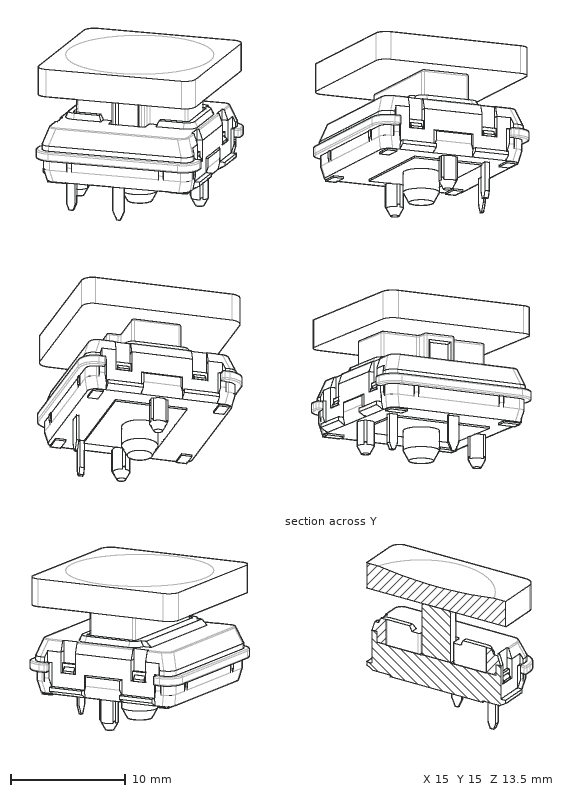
import cadquery as cq
import math


pin_tip_z = -3.0
post_shoulder_z = -1.78
post_tip_z = -2.7
floor_z = 0.15
lower_shoulder_z = 1.62
flange_bottom_z = 2.2
parting_z = 3.0
upper_shoulder_z = 3.46
deck_z = 5.0
collar_top_z = 5.5
cap_bottom_z = 8.0
cap_top_z = 10.5

cap_size = 14.5
cap_corner_r = 1.0
dish_r = 6.5
dish_depth = 0.5

stem_half_x = 5.14
stem_half_y = 2.25
key_half_x = 1.5
key_front_y = -3.43
stem_edge_r = 0.2
stem_clearance = 0.2
stem_groove_half_x = 1.09
stem_groove_top_z = 7.41
stem_groove_depth = 0.2

body_half = 6.94
deck_half = 6.4
floor_half = 6.6
body_corner_r = 0.8
deck_edge_r = 0.12
flange_half = 7.5
flange_corner_r = 1.5
flange_edge_r = 0.12
flange_end_r = 0.2
skin_half = 6.855

flat_x = 6.74
lower_flat_half_y = 5.11
upper_flat_half_y = 5.53
flank_slope = (body_half - deck_half) / (deck_z - upper_shoulder_z)
wall_top_z = upper_shoulder_z + (body_half - flat_x) / flank_slope
flange_end_y = lower_flat_half_y + body_half - flat_x

slot_y = 3.5
slot_width = 1.43
slot_floor_x = 6.22
window_floor_x = 6.48
window_bottom_z = 2.18
latch_width = 1.05
latch_x = 6.7
latch_top_z = 2.7
latch_edge_z = 2.37

lip_x = 7.24
lip_top_z = 0.86
lip_edge_z = 0.53
tab_half_y = 1.88
tab_chamfer_y = 0.19
tab_top_z = flange_bottom_z

rib_x = 4.24
rib_width = 0.44
side_rib_end_y = 5.81

collar_half_x = 6.07
collar_half_y = 3.16
collar_corner_r = 1.0
collar_inset = 0.25
collar_gap_top_half_x = 2.78
collar_gap_bottom_half_x = 2.53
bump_half_x = 5.15
bump_top_y = 3.41
bump_bottom_y = 3.93

foot_inner_x = 4.8
foot_outer_x = 6.45
foot_inner_y = 5.3
foot_outer_y = 6.25
plate_half_x = 4.8
plate_front_y = -3.7
plate_back_y = 2.85

centre_post_r = 1.6
post_tip_inset = 0.5
side_post_x = 5.55
side_post_r = 0.76
crush_rib_r = 0.14
crush_rib_reach = 0.88
crush_rib_count = 3

pin_top_z = 1.2
side_pin_at = (-5.0, -3.88)
side_pin_width = 0.8
side_pin_thickness = 0.43
side_pin_tip_width = 0.35
side_pin_taper = 0.58
centre_pin_at = (0.0, -5.85)
centre_pin_width = 1.05
centre_pin_thickness = 0.2
centre_pin_tip_width = 0.3
centre_pin_taper = 0.82


def box(x0, x1, y0, y1, z0, z1):
    return cq.Workplane("XY").box(x1 - x0, y1 - y0, z1 - z0, centered=False).translate((x0, y0, z0))


def rounded_square(half, corner_r, z0, z1):
    return box(-half, half, -half, half, z0, z1).edges("|Z").fillet(corner_r)


def tapered_square(half_0, z0, half_1, z1, corner_r):
    """Square frustum whose corners keep the same radius from end to end."""
    lower = cq.Sketch().rect(2 * half_0, 2 * half_0).vertices().fillet(corner_r)
    upper = cq.Sketch().rect(2 * half_1, 2 * half_1).vertices().fillet(corner_r)
    return (
        cq.Workplane("XY", origin=(0, 0, z0))
        .placeSketch(lower, upper.moved(cq.Location(cq.Vector(0, 0, z1 - z0))))
        .loft(ruled=True)
    )


def on_both_sides(shape):
    """The shape together with its mirror image on the other X side."""
    return shape.union(shape.mirror("YZ"))


def side_recess(half_y, z0, z1):
    """Cutter for the flats: clears everything beyond flat_x, with 45-degree ends in the body."""
    mouth_half_y = half_y + body_half - flat_x
    cutter = (
        cq.Workplane("XY", origin=(0, 0, z0))
        .polyline([
            (flat_x, -half_y),
            (body_half, -mouth_half_y),
            (flange_half, -mouth_half_y),
            (flange_half, mouth_half_y),
            (body_half, mouth_half_y),
            (flat_x, half_y),
        ])
        .close()
        .extrude(z1 - z0)
    )
    return on_both_sides(cutter)


def latch_slots(floor_x, z0, z1):
    """Cutter for the four slots, two in each flat."""
    cutter = None
    for y in (-slot_y, slot_y):
        slot = box(floor_x, flange_half, y - slot_width / 2, y + slot_width / 2, z0, z1)
        cutter = slot if cutter is None else cutter.union(slot)
    return on_both_sides(cutter)


def stem_prism(gap=0):
    """The stem's plan, grown by a gap, from the parting plane to the keycap; upright edges rounded."""
    half_x = stem_half_x + gap
    half_y = stem_half_y + gap
    key_half = key_half_x + gap
    block = box(-half_x, half_x, -half_y, half_y, parting_z, cap_bottom_z)
    key = box(-key_half, key_half, key_front_y - gap, 0, parting_z, cap_bottom_z)
    return block.union(key).edges("|Z").fillet(stem_edge_r)


def make_keycap():
    cap = rounded_square(cap_size / 2, cap_corner_r, cap_bottom_z, cap_top_z)
    sphere_r = (dish_r**2 + dish_depth**2) / (2 * dish_depth)
    dish = cq.Workplane("XY").sphere(sphere_r).translate((0, 0, cap_top_z - dish_depth + sphere_r))
    return cap.cut(dish)


def make_stem():
    stem = stem_prism().faces(">Z").edges().fillet(stem_edge_r)
    groove_height = stem_groove_top_z - parting_z
    groove = (
        cq.Workplane("XZ", origin=(0, key_front_y, parting_z))
        .rect(2 * stem_groove_half_x, 2 * groove_height)
        .extrude(-stem_groove_depth, taper=45)
    )
    return stem.cut(groove)


def make_collar():
    height = collar_top_z - deck_z
    collar = (
        cq.Workplane("XY", origin=(0, 0, deck_z))
        .sketch()
        .rect(2 * collar_half_x, 2 * collar_half_y)
        .vertices()
        .fillet(collar_corner_r)
        .finalize()
        .extrude(height, taper=math.degrees(math.atan(collar_inset / height)))
    )
    bump = (
        cq.Workplane("YZ", origin=(-bump_half_x, 0, 0))
        .polyline([(0, deck_z), (bump_bottom_y, deck_z), (bump_top_y, collar_top_z), (0, collar_top_z)])
        .close()
        .extrude(2 * bump_half_x)
    )
    front_gap = (
        cq.Workplane("XZ", origin=(0, -stem_half_y, 0))
        .polyline([
            (-collar_gap_bottom_half_x, deck_z),
            (collar_gap_bottom_half_x, deck_z),
            (collar_gap_top_half_x, collar_top_z),
            (-collar_gap_top_half_x, collar_top_z),
        ])
        .close()
        .extrude(collar_half_y)
    )
    return collar.union(bump).cut(front_gap)


def side_walls():
    """Walls of the lower housing that stand above the parting plane on the flats."""
    wall = box(slot_floor_x, flat_x, -upper_flat_half_y, upper_flat_half_y, parting_z, wall_top_z)
    return on_both_sides(wall).cut(latch_slots(slot_floor_x, parting_z, wall_top_z))


def make_upper_housing():
    base = rounded_square(body_half, body_corner_r, parting_z, upper_shoulder_z)
    flanks = tapered_square(body_half, upper_shoulder_z, deck_half, deck_z, body_corner_r)
    flanks = flanks.faces(">Z").edges().fillet(deck_edge_r)
    return (
        base.union(flanks)
        .cut(side_recess(upper_flat_half_y, parting_z, wall_top_z))
        .cut(latch_slots(slot_floor_x, parting_z, deck_z))
        .cut(side_walls())
        .union(make_collar())
        .cut(stem_prism(stem_clearance))
    )


def make_lower_shell():
    """Tapered tub with standing ribs, below the flange."""
    flanks = tapered_square(floor_half, floor_z, body_half, lower_shoulder_z, body_corner_r)
    tub = flanks.union(rounded_square(body_half, body_corner_r, lower_shoulder_z, flange_bottom_z))
    shell = tub.intersect(rounded_square(skin_half, body_corner_r, floor_z, flange_bottom_z))
    for x in (-rib_x, rib_x):
        rib_space = box(
            x - rib_width / 2, x + rib_width / 2, -body_half, body_half, floor_z, flange_bottom_z
        )
        shell = shell.union(tub.intersect(rib_space))
    for y0, y1 in ((-side_rib_end_y, -lower_flat_half_y), (lower_flat_half_y, side_rib_end_y)):
        rib_space = box(-body_half, body_half, y0, y1, floor_z, flange_bottom_z)
        shell = shell.union(tub.intersect(rib_space))
    return shell


def make_flange():
    """Flange along the front and back that wraps a short way round each corner."""
    flange = rounded_square(flange_half, flange_corner_r, flange_bottom_z, parting_z)
    side_gap = box(body_half, flange_half, -flange_end_y, flange_end_y, flange_bottom_z, parting_z)
    flange = flange.cut(on_both_sides(side_gap))
    end_zone = (flange_half + flange_end_r, flange_end_y + flange_end_r)
    ends = cq.selectors.BoxSelector(
        (-end_zone[0], -end_zone[1], flange_bottom_z), (end_zone[0], end_zone[1], parting_z)
    )
    flange = flange.edges("|Z").edges(ends).edges(">X or <X").fillet(flange_end_r)
    return flange.faces("<Z or >Z").edges().fillet(flange_edge_r)


def make_lips():
    """Lips along the bottom of the flats, interrupted by the centre tabs."""
    lips = (
        cq.Workplane("XZ", origin=(0, lower_flat_half_y, 0))
        .polyline([
            (slot_floor_x, floor_z),
            (floor_half, floor_z),
            (lip_x, lip_edge_z),
            (lip_x, lip_top_z),
            (slot_floor_x, lip_top_z),
        ])
        .close()
        .extrude(2 * lower_flat_half_y)
    )
    tab_gap = box(slot_floor_x, lip_x, -tab_half_y, tab_half_y, floor_z, lip_top_z)
    return on_both_sides(lips.cut(tab_gap))


def make_tabs(shell):
    """Centre tabs of the flats: parts of the shell's flanks with bevelled edges."""
    depth = skin_half - flat_x
    tab = (
        cq.Workplane("XY", origin=(0, 0, floor_z))
        .polyline([
            (flat_x, -tab_half_y),
            (skin_half, -tab_half_y + tab_chamfer_y),
            (skin_half, tab_half_y - tab_chamfer_y),
            (flat_x, tab_half_y),
        ])
        .close()
        .extrude(tab_top_z - floor_z)
    )
    top_bevel = (
        cq.Workplane("XZ", origin=(0, tab_half_y, 0))
        .polyline([(flat_x, tab_top_z), (skin_half, tab_top_z), (skin_half, tab_top_z - depth)])
        .close()
        .extrude(2 * tab_half_y)
    )
    return on_both_sides(tab.cut(top_bevel)).intersect(shell)


def make_latches():
    """Ramped catches standing in the windows at the foot of the latch slots."""
    latches = None
    for y in (-slot_y, slot_y):
        latch = (
            cq.Workplane("XZ", origin=(0, y + latch_width / 2, 0))
            .polyline([
                (window_floor_x, window_bottom_z),
                (latch_x, window_bottom_z),
                (latch_x, latch_edge_z),
                (window_floor_x, latch_top_z),
            ])
            .close()
            .extrude(latch_width)
        )
        latches = latch if latches is None else latches.union(latch)
    return on_both_sides(latches)


def make_underside():
    """Shallow plate under the floor and a foot under each corner."""
    underside = box(-plate_half_x, plate_half_x, plate_front_y, plate_back_y, 0, floor_z)
    for y0, y1 in ((-foot_outer_y, -foot_inner_y), (foot_inner_y, foot_outer_y)):
        foot = box(foot_inner_x, foot_outer_x, y0, y1, 0, floor_z)
        underside = underside.union(on_both_sides(foot))
    return underside


def post_envelope(post_r):
    """Round post with a conical end, as a turned solid on the Z axis."""
    return (
        cq.Workplane("XZ")
        .polyline([
            (0, floor_z),
            (post_r, floor_z),
            (post_r, post_shoulder_z),
            (post_r - post_tip_inset, post_tip_z),
            (0, post_tip_z),
        ])
        .close()
        .revolve(360, (0, 0, 0), (0, 1, 0))
    )


def make_side_posts():
    """Thin posts with crush ribs, one of them facing the centre post."""
    length = floor_z - post_tip_z
    post = cq.Workplane("XY", origin=(0, 0, post_tip_z)).circle(side_post_r).extrude(length)
    rib_ring_r = crush_rib_reach - crush_rib_r
    ribs = (
        cq.Workplane("XY", origin=(0, 0, post_tip_z))
        .polarArray(rib_ring_r, 180, 360, crush_rib_count)
        .circle(crush_rib_r)
        .extrude(length)
    )
    post = post.union(ribs).intersect(post_envelope(crush_rib_reach))
    return on_both_sides(post.translate((side_post_x, 0, 0)))


def make_pin(at, width, thickness, tip_width, taper_length):
    """Flat contact pin that narrows to a blunt tip."""
    x, y = at
    taper_z = pin_tip_z + taper_length
    return (
        cq.Workplane("XZ", origin=(x, y + thickness / 2, 0))
        .polyline([
            (-width / 2, pin_top_z),
            (width / 2, pin_top_z),
            (width / 2, taper_z),
            (tip_width / 2, pin_tip_z),
            (-tip_width / 2, pin_tip_z),
            (-width / 2, taper_z),
        ])
        .close()
        .extrude(thickness)
    )


def make_lower_housing(pins):
    shell = make_lower_shell()
    housing = (
        shell.union(make_flange())
        .union(rounded_square(body_half, body_corner_r, flange_bottom_z, parting_z))
        .cut(side_recess(lower_flat_half_y, floor_z, parting_z))
        .cut(latch_slots(window_floor_x, window_bottom_z, parting_z))
        .union(side_walls())
        .union(make_latches())
        .union(make_tabs(shell))
        .union(make_lips())
        .union(make_underside())
        .union(post_envelope(centre_post_r))
        .union(make_side_posts())
    )
    for pin in pins:
        housing = housing.cut(pin)
    return housing


keycap = make_keycap()
stem = make_stem()
upper_housing = make_upper_housing()
side_pin = make_pin(
    side_pin_at, side_pin_width, side_pin_thickness, side_pin_tip_width, side_pin_taper
)
centre_pin = make_pin(
    centre_pin_at, centre_pin_width, centre_pin_thickness, centre_pin_tip_width, centre_pin_taper
)
lower_housing = make_lower_housing([side_pin, centre_pin])

result = cq.Compound.makeCompound([
    keycap.val(),
    stem.val(),
    *upper_housing.vals(),
    *lower_housing.vals(),
    side_pin.val(),
    centre_pin.val(),
])